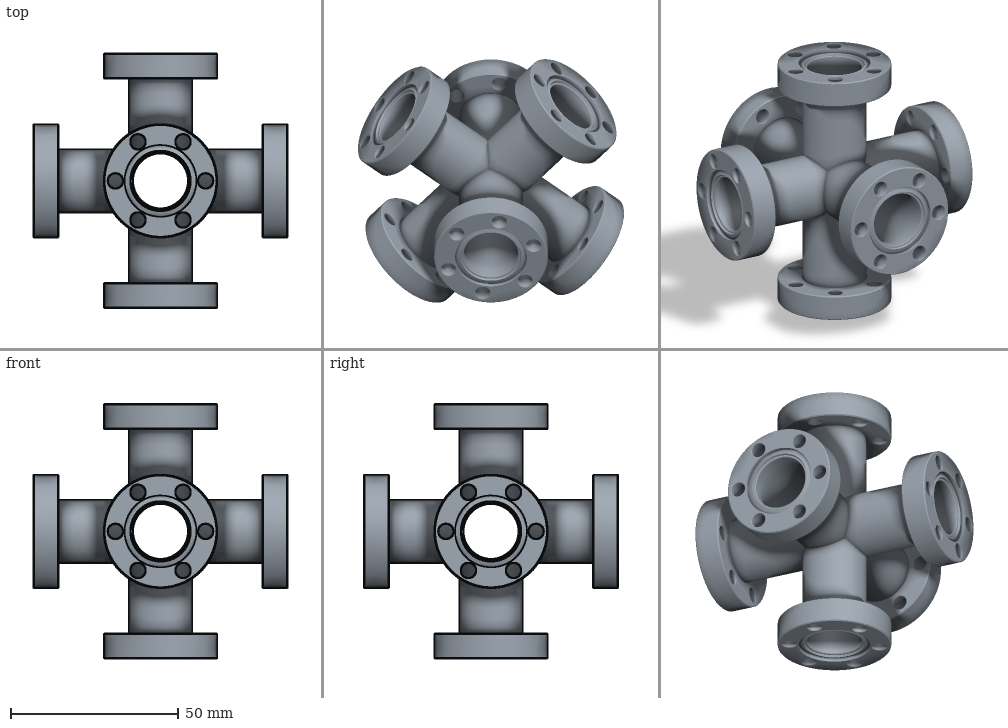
import cadquery as cq

SPAN = 76.2
HALF_SPAN = SPAN / 2

TUBE_DIAMETER = 19.05
BORE_DIAMETER = 16.4

FLANGE_DIAMETER = 34.0
FLANGE_THICKNESS = 7.6
RIM_CHAMFER = 0.3

RECESS_DIAMETER = 21.5
RECESS_DEPTH = 1.2
KNIFE_DIAMETER = 18.1
KNIFE_DEPTH = 0.5
LEDGE_DIAMETER = 17.7
LEDGE_DEPTH = 1.2
BORE_MOUTH_CHAMFER = 0.19

TUBE_END_DEPTH = 4.7
SOCKET_DEPTH = FLANGE_THICKNESS - TUBE_END_DEPTH
SOCKET_CHAMFER = 0.4

BOLT_COUNT = 6
BOLT_CIRCLE_DIAMETER = 27.0
BOLT_HOLE_DIAMETER = 4.4
BOLT_HOLE_CHAMFER = 0.15

PORTS = [
    ((1, 0, 0), (0, 1, 0)),
    ((-1, 0, 0), (0, 1, 0)),
    ((0, 1, 0), (1, 0, 0)),
    ((0, -1, 0), (1, 0, 0)),
    ((0, 0, 1), (1, 0, 0)),
    ((0, 0, -1), (1, 0, 0)),
]


def three_way_rods(diameter, length):
    """Three rods of one diameter and length, crossing at the origin along X, Y and Z."""
    rods = [
        cq.Workplane(plane).circle(diameter / 2).extrude(length / 2, both=True)
        for plane in ("XY", "YZ", "XZ")
    ]
    return rods[0].union(rods[1]).union(rods[2])


def make_tube_cross():
    """Six-way tube cross, open at every end."""
    tube_length = SPAN - 2 * TUBE_END_DEPTH
    outside = three_way_rods(TUBE_DIAMETER, tube_length)
    return outside.cut(three_way_rods(BORE_DIAMETER, SPAN))


def sealing_cut():
    """Bore and sealing recess, turned about the flange axis with the outer face at Z = 0."""
    bore_radius = BORE_DIAMETER / 2
    knife_radius = KNIFE_DIAMETER / 2
    ledge_radius = LEDGE_DIAMETER / 2
    recess_radius = RECESS_DIAMETER / 2
    return (
        cq.Workplane("XZ")
        .moveTo(0, 0)
        .lineTo(recess_radius, 0)
        .lineTo(recess_radius, -RECESS_DEPTH)
        .lineTo(knife_radius, -KNIFE_DEPTH)
        .lineTo(ledge_radius, -LEDGE_DEPTH)
        .lineTo(bore_radius + BORE_MOUTH_CHAMFER, -LEDGE_DEPTH)
        .lineTo(bore_radius, -LEDGE_DEPTH - BORE_MOUTH_CHAMFER)
        .lineTo(bore_radius, -FLANGE_THICKNESS)
        .lineTo(0, -FLANGE_THICKNESS)
        .close()
        .revolve(360, (0, 0, 0), (0, 1, 0))
    )


def socket_cut():
    """Cylinder for the tube end in the back of the flange, with a chamfered mouth."""
    radius = TUBE_DIAMETER / 2
    mouth_radius = radius + SOCKET_CHAMFER
    return (
        cq.Workplane("XZ", origin=(0, 0, -FLANGE_THICKNESS))
        .moveTo(0, 0)
        .lineTo(mouth_radius, 0)
        .lineTo(radius, SOCKET_CHAMFER)
        .lineTo(radius, SOCKET_DEPTH)
        .lineTo(0, SOCKET_DEPTH)
        .close()
        .revolve(360, (0, 0, 0), (0, 1, 0))
    )


def bolt_hole_cut():
    """Through hole on the bolt circle along X, chamfered at both ends."""
    radius = BOLT_HOLE_DIAMETER / 2
    mouth_radius = radius + BOLT_HOLE_CHAMFER
    return (
        cq.Workplane("XZ", origin=(BOLT_CIRCLE_DIAMETER / 2, 0, 0))
        .moveTo(0, 0)
        .lineTo(mouth_radius, 0)
        .lineTo(radius, -BOLT_HOLE_CHAMFER)
        .lineTo(radius, BOLT_HOLE_CHAMFER - FLANGE_THICKNESS)
        .lineTo(mouth_radius, -FLANGE_THICKNESS)
        .lineTo(0, -FLANGE_THICKNESS)
        .close()
        .revolve(360, (0, 0, 0), (0, 1, 0))
    )


def make_flange(outward, first_bolt):
    """Flange with its outer face at the end of the port that points outward."""
    blank = (
        cq.Workplane("XY")
        .circle(FLANGE_DIAMETER / 2)
        .extrude(-FLANGE_THICKNESS)
        .edges()
        .chamfer(RIM_CHAMFER)
    )
    flange = blank.cut(sealing_cut()).cut(socket_cut())
    bolt_hole = bolt_hole_cut()
    for index in range(BOLT_COUNT):
        angle = index * 360 / BOLT_COUNT
        flange = flange.cut(bolt_hole.rotate((0, 0, 0), (0, 0, 1), angle))
    face_centre = tuple(HALF_SPAN * component for component in outward)
    port_plane = cq.Plane(origin=face_centre, xDir=first_bolt, normal=outward)
    return flange.val().moved(cq.Location(port_plane))


tube_cross = make_tube_cross()
flanges = [make_flange(outward, first_bolt) for outward, first_bolt in PORTS]

result = cq.Compound.makeCompound([tube_cross.val(), *flanges])